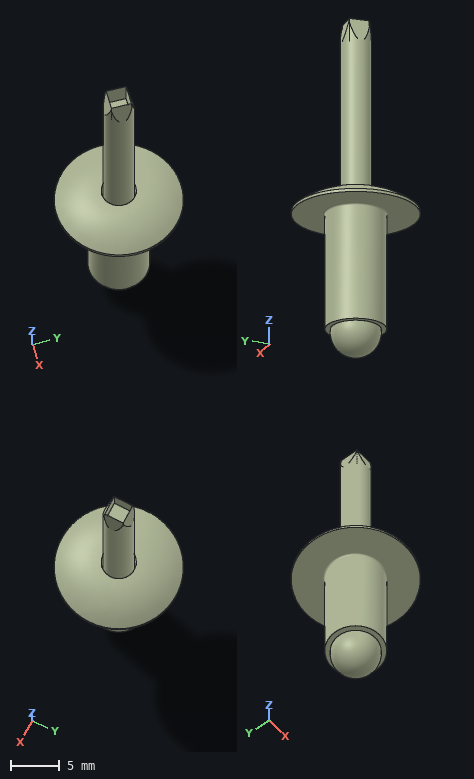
import cadquery as cq
import math

total_height = 36.83

head_radius = 2.65
head_height = 3.02

sleeve_radius = 3.2
bore_radius = 1.8
flange_radius = 6.65
flange_bottom = 15.7
rim_thickness = 0.33
dome_rise = 1.75
underside_fillet = 0.2

pin_radius = 1.62
tip_half_width = 1.05
taper_length = 2.5
socket_depth = taper_length


def dome_arc_middle(rim_top):
    """Halfway point of the dome arc, which is level at the bore edge and falls to the rim."""
    run = flange_radius - bore_radius
    arc_radius = (run**2 + dome_rise**2) / (2 * dome_rise)
    arc_center_height = rim_top + dome_rise - arc_radius
    half_angle = math.asin(run / arc_radius) / 2
    return (
        bore_radius + arc_radius * math.sin(half_angle),
        arc_center_height + arc_radius * math.cos(half_angle),
    )


def make_rivet():
    rim_top = flange_bottom + rim_thickness
    dome_top = rim_top + dome_rise
    fillet_middle = underside_fillet * (1 - math.sqrt(0.5))
    profile = (
        cq.Workplane("XZ")
        .moveTo(bore_radius, head_height)
        .lineTo(sleeve_radius, head_height)
        .lineTo(sleeve_radius, flange_bottom - underside_fillet)
        .threePointArc(
            (sleeve_radius + fillet_middle, flange_bottom - fillet_middle),
            (sleeve_radius + underside_fillet, flange_bottom),
        )
        .lineTo(flange_radius, flange_bottom)
        .lineTo(flange_radius, rim_top)
        .threePointArc(dome_arc_middle(rim_top), (bore_radius, dome_top))
        .close()
    )
    return profile.revolve(360, (0, 0, 0), (0, 1, 0))


def make_head():
    """Ball cut flat a little above its middle, where it meets the sleeve and pin."""
    flat_radius = math.sqrt(head_radius**2 - (head_height - head_radius) ** 2)
    diagonal = head_radius * math.sqrt(0.5)
    profile = (
        cq.Workplane("XZ")
        .moveTo(0, 0)
        .threePointArc((diagonal, head_radius - diagonal), (flat_radius, head_height))
        .lineTo(0, head_height)
        .close()
    )
    return profile.revolve(360, (0, 0, 0), (0, 1, 0))


def make_pin():
    """Round pin, trimmed by a square pyramid at the tip and hollowed by the socket."""
    taper_start = total_height - taper_length
    shaft_length = taper_start - head_height
    shaft = cq.Workplane("XY").workplane(offset=head_height).circle(pin_radius).extrude(shaft_length)
    tip_round = cq.Workplane("XY").workplane(offset=taper_start).circle(pin_radius).extrude(taper_length)
    tip_pyramid = (
        cq.Workplane("XY")
        .workplane(offset=taper_start)
        .rect(2 * pin_radius, 2 * pin_radius)
        .workplane(offset=taper_length)
        .rect(2 * tip_half_width, 2 * tip_half_width)
        .loft(ruled=True)
    )
    socket = (
        cq.Workplane("XY")
        .workplane(offset=total_height - socket_depth)
        .rect(2 * tip_half_width, 2 * tip_half_width)
        .extrude(socket_depth)
    )
    return shaft.union(tip_round.intersect(tip_pyramid)).cut(socket)


rivet = make_rivet()
head = make_head()
pin = make_pin()

result = cq.Compound.makeCompound([rivet.val(), head.val(), *pin.solids().vals()])